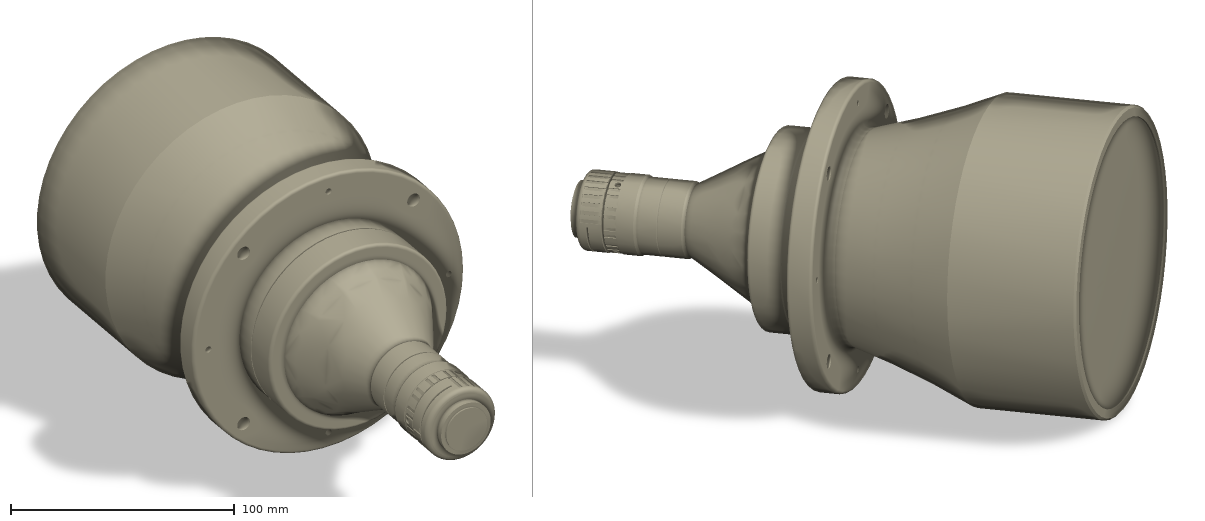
import cadquery as cq
import math

LENGTH = 254.5
BARREL_R = 71.0

BARREL_END = 60.0
NECK_START = 119.0
FLANGE_FRONT = 123.5
FLANGE_BACK = 135.3
HUB_JOINT = 145.0
HUB_END = 161.3
CONE_END = 199.2
TUBE_START = 200.7
TUBE_JOINT = 211.7
TUBE_END = 221.5
RING_START = 222.9
GRIP_START = 230.7
GRIP_END = 236.9
COLLAR_START = 238.0
COLLAR_END = 244.0
CAP_START = 245.0
CAP_END = 250.0
MOUNT_END = 253.6

LENS_R = 66.0
NECK_R = 49.5
HUB_R = 46.5
CONE_FRONT_R = 39.0
CONE_BACK_R = 16.8
TUBE_R = 17.5
RING_R = 18.3
GRIP_R = 18.0
RING_GROOVE_R = 16.0
MOUNT_R = 13.0
REAR_LENS_R = 10.7

BARREL_CHAMFER = 1.0
NECK_FILLET = 2.8
FLANGE_FILLET = 1.5
HUB_FILLET = 1.5
JOINT_CHAMFER = 0.8
CAP_FILLET = 2.3
FLARE_SAG = 1.3
CONE_SAG = 0.3
LENS_RECESS = 0.8
LENS_CROWN = 0.5

HOLE_CIRCLE_R = 62.8
BOLT_HOLE_D = 6.5
DOWEL_HOLE_D = 3.0
HOLES_PER_SET = 4
BOLT_HOLE_ANGLE = 45
DOWEL_HOLE_ANGLE = 0

GROOVE_DEPTH = 0.5
GRIP_MARGIN = 0.5
GRIP_GROOVE_W = 1.5
WIDE_LANDS = 12
WIDE_LAND_HALF = 9.3
WIDE_LAND_ANGLE = 27.0

SET_SCREWS = 3
SET_SCREW_X = 233.0
SET_SCREW_D = 3.0
SET_SCREW_DEPTH = 1.5

PAD_GROOVES = 8
PAD_GROOVE_W = 1.8
PAD_GROOVE_PITCH = 12.0
PAD_GROOVE_END = 247.8
PAD_MIDDLE = 45.0
PAD_SPAN = 102.0

SLIT_Z = -2.0
SLIT_W = 1.0
SLIT_DEPTH = RING_R - RING_GROOVE_R
SCREW_HOLE_D = 4.3
SCREW_HOLE_DEPTH = 3.0
SCREW_HOLE_ANGLE = -127.0

ARC_MIDDLE = math.sqrt(0.5)


def fillet_middle(center_x, center_r, radius, side_x, side_r):
    """Middle point of a quarter-round about a centre, on the given side of it."""
    offset = radius * ARC_MIDDLE
    return (center_x + side_x * offset, center_r + side_r * offset)


def sagged_middle(start, end, sag):
    """Middle of a chord, moved toward the axis by the sag."""
    return ((start[0] + end[0]) / 2, (start[1] + end[1]) / 2 - sag)


def turned_body():
    """Everything that is round about X, revolved from one half outline."""
    flare_front = (BARREL_END, BARREL_R)
    flare_back = (NECK_START, NECK_R)
    cone_front = (HUB_END, CONE_FRONT_R)
    cone_back = (CONE_END, CONE_BACK_R)
    lens_rim = (LENS_RECESS, LENS_R)
    lens_top = (LENS_RECESS - LENS_CROWN, 0)
    lens_middle = (lens_top[0] + LENS_CROWN / 4, LENS_R / 2)

    neck_center = (FLANGE_FRONT - NECK_FILLET, NECK_R + NECK_FILLET)
    flange_r = BARREL_R - FLANGE_FILLET
    flange_left = FLANGE_FRONT + FLANGE_FILLET
    flange_right = FLANGE_BACK - FLANGE_FILLET
    hub_right = HUB_END - HUB_FILLET
    hub_r = HUB_R - HUB_FILLET
    cap_right = CAP_END - CAP_FILLET
    cap_r = RING_R - CAP_FILLET

    outline = (
        cq.Workplane("XY")
        .moveTo(*lens_top)
        .threePointArc(lens_middle, lens_rim)
        .lineTo(0, LENS_R)
        .lineTo(0, BARREL_R - BARREL_CHAMFER)
        .lineTo(BARREL_CHAMFER, BARREL_R)
        .lineTo(*flare_front)
        .threePointArc(sagged_middle(flare_front, flare_back, FLARE_SAG), flare_back)
        .lineTo(neck_center[0], NECK_R)
        .threePointArc(fillet_middle(*neck_center, NECK_FILLET, 1, -1), (FLANGE_FRONT, neck_center[1]))
        .lineTo(FLANGE_FRONT, flange_r)
        .threePointArc(fillet_middle(flange_left, flange_r, FLANGE_FILLET, -1, 1), (flange_left, BARREL_R))
        .lineTo(flange_right, BARREL_R)
        .threePointArc(fillet_middle(flange_right, flange_r, FLANGE_FILLET, 1, 1), (FLANGE_BACK, flange_r))
        .lineTo(FLANGE_BACK, HUB_R)
        .lineTo(HUB_JOINT, HUB_R)
        .lineTo(HUB_JOINT, HUB_R - JOINT_CHAMFER)
        .lineTo(HUB_JOINT + JOINT_CHAMFER, HUB_R)
        .lineTo(hub_right, HUB_R)
        .threePointArc(fillet_middle(hub_right, hub_r, HUB_FILLET, 1, 1), (HUB_END, hub_r))
        .lineTo(*cone_front)
        .threePointArc(sagged_middle(cone_front, cone_back, CONE_SAG), cone_back)
        .lineTo(TUBE_START, TUBE_R)
        .lineTo(TUBE_JOINT, TUBE_R)
        .lineTo(TUBE_JOINT, TUBE_R - JOINT_CHAMFER)
        .lineTo(TUBE_JOINT + JOINT_CHAMFER, TUBE_R)
        .lineTo(TUBE_END, TUBE_R)
        .lineTo(RING_START, RING_R)
        .lineTo(GRIP_START, RING_R)
        .lineTo(GRIP_START, GRIP_R)
        .lineTo(GRIP_END, GRIP_R)
        .lineTo(GRIP_END, RING_GROOVE_R)
        .lineTo(COLLAR_START, RING_GROOVE_R)
        .lineTo(COLLAR_START, RING_R)
        .lineTo(cap_right, RING_R)
        .threePointArc(fillet_middle(cap_right, cap_r, CAP_FILLET, 1, 1), (CAP_END, cap_r))
        .lineTo(CAP_END, MOUNT_R)
        .lineTo(MOUNT_END, MOUNT_R)
        .lineTo(MOUNT_END, REAR_LENS_R)
        .lineTo(LENGTH, REAR_LENS_R)
        .lineTo(LENGTH, 0)
        .close()
    )
    return outline.revolve(360, (0, 0, 0), (1, 0, 0))


def flange_holes(diameter, first_angle):
    """One ring of holes through the flange."""
    return (
        cq.Workplane("YZ", origin=(FLANGE_FRONT, 0, 0))
        .polarArray(HOLE_CIRCLE_R, first_angle, 360, HOLES_PER_SET)
        .circle(diameter / 2)
        .extrude(FLANGE_BACK - FLANGE_FRONT)
    )


def turn_from_top(shape, angle):
    """Turn a shape lying on +Z about the axis, toward +Y for a positive angle."""
    return shape.rotate((0, 0, 0), (1, 0, 0), -angle)


def lengthwise_groove(start, end, width, radius, angle):
    """A shallow groove along X in a round surface of the given radius."""
    cutter = cq.Workplane("XY").box(end - start, width, 2 * GROOVE_DEPTH)
    return turn_from_top(cutter.translate(((start + end) / 2, 0, radius)), angle)


def rear_ring_groove():
    """Ring groove behind the collar, left out where the grip pad bridges it."""
    profile = (
        cq.Workplane("XZ")
        .moveTo(COLLAR_END, RING_GROOVE_R)
        .lineTo(CAP_START, RING_GROOVE_R)
        .lineTo(CAP_START, RING_R + GROOVE_DEPTH)
        .lineTo(COLLAR_END, RING_R + GROOVE_DEPTH)
        .close()
    )
    groove = profile.revolve(360 - PAD_SPAN, (0, 0, 0), (1, 0, 0))
    return turn_from_top(groove, PAD_MIDDLE - PAD_SPAN / 2)


def collar_slit():
    """Narrow split across the clamp collar."""
    length = CAP_START - COLLAR_START
    slit = cq.Workplane("XY").box(length, 2 * SLIT_DEPTH, SLIT_W)
    return slit.translate((COLLAR_START + length / 2, -RING_R, SLIT_Z))


def radial_hole(x, diameter, radius, depth, angle):
    """Blind hole drilled toward the axis from a round surface."""
    hole = cq.Workplane("XY").circle(diameter / 2).extrude(2 * depth)
    return turn_from_top(hole.translate((x, 0, radius - depth)), angle)


result = turned_body()
result = result.cut(flange_holes(BOLT_HOLE_D, BOLT_HOLE_ANGLE))
result = result.cut(flange_holes(DOWEL_HOLE_D, DOWEL_HOLE_ANGLE))
result = result.cut(rear_ring_groove())

groove_start = GRIP_START + GRIP_MARGIN
for index in range(WIDE_LANDS):
    land_angle = WIDE_LAND_ANGLE + index * 360 / WIDE_LANDS
    for side in (-1, 1):
        groove_angle = land_angle + side * WIDE_LAND_HALF
        result = result.cut(lengthwise_groove(groove_start, GRIP_END, GRIP_GROOVE_W, GRIP_R, groove_angle))

for index in range(SET_SCREWS):
    screw_angle = WIDE_LAND_ANGLE + index * 360 / SET_SCREWS
    result = result.cut(radial_hole(SET_SCREW_X, SET_SCREW_D, GRIP_R, SET_SCREW_DEPTH, screw_angle))

for index in range(PAD_GROOVES):
    groove_angle = PAD_MIDDLE + PAD_GROOVE_PITCH * (index - (PAD_GROOVES - 1) / 2)
    result = result.cut(lengthwise_groove(COLLAR_START, PAD_GROOVE_END, PAD_GROOVE_W, RING_R, groove_angle))

result = result.cut(collar_slit())
collar_middle = (COLLAR_START + COLLAR_END) / 2
result = result.cut(radial_hole(collar_middle, SCREW_HOLE_D, RING_R, SCREW_HOLE_DEPTH, SCREW_HOLE_ANGLE))